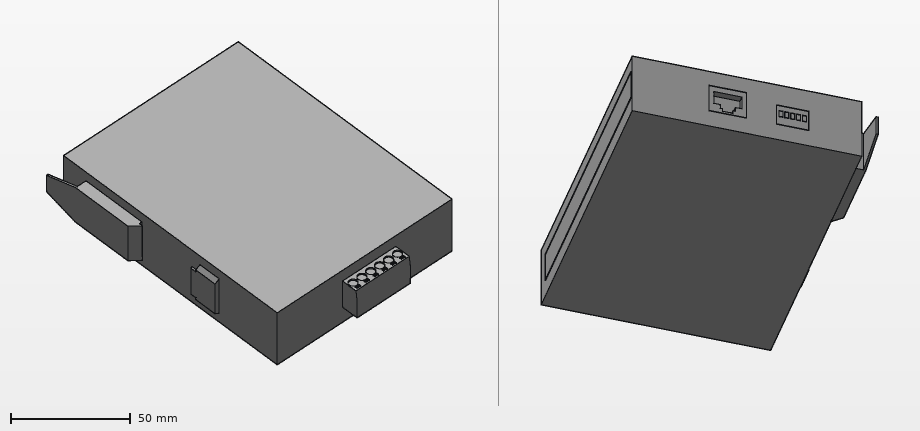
import cadquery as cq

housing_length = 130.0
housing_depth = 100.0
housing_height = 30.0
mid_height = housing_height / 2

proud = 0.3

clip_reach = 6.0
clip_height = 20.0
tongue_overhang = 4.0
tongue_length = 17.7
tongue_thickness = 1.0
tongue_tip_height = 9.4
clip_neck_length = 34.0
clip_front_length = 31.9
clip_hook_length = 35.9
hook_gap = 1.4

foot_left = 83.0
foot_length = 11.7
foot_reach = 2.4
foot_front_height = 17.1
lip_length = 3.4
lip_bevel = 0.4
lip_height = 15.0
lip_gap = 1.4

terminal_length = 8.9
terminal_width = 30.4
terminal_height = 15.1
terminal_bottom = 8.7
terminal_mid_y = 52.5
terminal_slope_run = 0.7
terminal_slope_drop = 5.1
pole_count = 6
pole_pitch = 5.08
screw_offset = 3.7
screw_radius = 2.1
screw_depth = 0.7
test_slot_offset = 6.7
test_slot_length = 1.1
test_slot_width = 2.1
test_slot_depth = 0.7

jack_mid_y = 58.4
jack_width = 16.3
port_bottom = 8.3
jack_height = 13.9
socket_top = 19.1
socket_depth = 2.9
socket_steps = [(12.3, 6.4), (6.5, 2.0), (4.5, 1.4)]

switch_bank_mid_y = 30.1
switch_bank_width = 14.0
switch_bank_height = 10.4
switch_count = 5
switch_pitch = 2.5
switch_width = 1.7
switch_height = 3.1
switch_mid_z = 14.3

label_left = 1.0
label_length = 122.5
label_bottom = 8.1
label_height = 14.1


def box(x, y, z, length, depth, height):
    """Box with its lowest corner at (x, y, z)."""
    return cq.Workplane("XY").box(length, depth, height, centered=False).translate((x, y, z))


def row_offsets(count, pitch):
    """Positions of evenly spaced items, centred on zero."""
    return [(i - (count - 1) / 2) * pitch for i in range(count)]


def rail_clip():
    """Hooked block with a thin tapered tongue that passes the -X end of the housing."""
    tongue_tip = -tongue_overhang
    block_left = tongue_tip + tongue_length
    hook_tip = block_left + clip_hook_length
    plan = (
        cq.Workplane("XY")
        .moveTo(tongue_tip, -clip_reach)
        .lineTo(block_left + clip_front_length, -clip_reach)
        .lineTo(hook_tip, -hook_gap)
        .lineTo(block_left + clip_neck_length, -hook_gap)
        .lineTo(block_left + clip_neck_length, 0)
        .lineTo(block_left, 0)
        .lineTo(block_left, tongue_thickness - clip_reach)
        .lineTo(tongue_tip, tongue_thickness - clip_reach)
        .close()
        .extrude(housing_height)
    )
    half_tip = tongue_tip_height / 2
    half_clip = clip_height / 2
    elevation = (
        cq.Workplane("XZ")
        .moveTo(tongue_tip, mid_height - half_tip)
        .lineTo(block_left, mid_height - half_clip)
        .lineTo(hook_tip, mid_height - half_clip)
        .lineTo(hook_tip, mid_height + half_clip)
        .lineTo(block_left, mid_height + half_clip)
        .lineTo(tongue_tip, mid_height + half_tip)
        .close()
        .extrude(clip_reach)
    )
    return plan.intersect(elevation)


def rail_foot():
    """Foot that narrows away from the wall, with a bevelled lip on its -X side."""
    half_base = clip_height / 2
    half_front = foot_front_height / 2
    foot = (
        cq.Workplane("YZ", origin=(foot_left, 0, mid_height))
        .moveTo(0, -half_base)
        .lineTo(-foot_reach, -half_front)
        .lineTo(-foot_reach, half_front)
        .lineTo(0, half_base)
        .close()
        .extrude(foot_length)
    )
    lip_tip = foot_left - lip_length
    lip_root = foot_left + foot_length / 2
    lip = (
        cq.Workplane("XY", origin=(0, 0, mid_height - lip_height / 2))
        .moveTo(lip_root, -lip_gap)
        .lineTo(lip_tip, -lip_gap)
        .lineTo(lip_tip + lip_bevel, -foot_reach)
        .lineTo(lip_root, -foot_reach)
        .close()
        .extrude(lip_height)
    )
    return foot.union(lip)


def terminal_block():
    """Terminal block with a screw recess and a test slot for each pole."""
    top = terminal_bottom + terminal_height
    right = housing_length + terminal_length
    block = (
        cq.Workplane("XZ", origin=(0, terminal_mid_y + terminal_width / 2, 0))
        .moveTo(housing_length, terminal_bottom)
        .lineTo(right, terminal_bottom)
        .lineTo(right, top - terminal_slope_drop)
        .lineTo(right - terminal_slope_run, top)
        .lineTo(housing_length, top)
        .close()
        .extrude(terminal_width)
    )
    poles = [(0, offset) for offset in row_offsets(pole_count, pole_pitch)]
    screws = (
        cq.Workplane("XY", origin=(housing_length + screw_offset, terminal_mid_y, top))
        .pushPoints(poles)
        .circle(screw_radius)
        .extrude(-screw_depth)
    )
    test_slots = (
        cq.Workplane("XY", origin=(housing_length + test_slot_offset, terminal_mid_y, top))
        .pushPoints(poles)
        .rect(test_slot_length, test_slot_width)
        .extrude(-test_slot_depth)
    )
    return block.cut(screws).cut(test_slots)


def jack_face():
    """Rim around the network jack."""
    return box(-proud, jack_mid_y - jack_width / 2, port_bottom, proud, jack_width, jack_height)


def jack_socket():
    """Stepped opening of the jack, narrower towards the bottom."""
    socket = cq.Workplane("XY")
    step_top = socket_top
    for width, height in socket_steps:
        step_bottom = step_top - height
        socket = socket.union(box(-proud, jack_mid_y - width / 2, step_bottom, socket_depth, width, height))
        step_top = step_bottom
    return socket


def switch_bank():
    """Raised plate of the switch bank."""
    bank_y = switch_bank_mid_y - switch_bank_width / 2
    return box(-proud, bank_y, port_bottom, proud, switch_bank_width, switch_bank_height)


def switch_windows():
    """Row of windows that go through the switch bank down to the housing wall."""
    return (
        cq.Workplane("YZ", origin=(-proud, switch_bank_mid_y, switch_mid_z))
        .pushPoints([(offset, 0) for offset in row_offsets(switch_count, switch_pitch)])
        .rect(switch_width, switch_height)
        .extrude(proud)
    )


housing = box(0, 0, 0, housing_length, housing_depth, housing_height)
label_plate = box(label_left, housing_depth, label_bottom, label_length, proud, label_height)

result = (
    housing.union(label_plate)
    .union(rail_clip())
    .union(rail_foot())
    .union(terminal_block())
    .union(jack_face())
    .union(switch_bank())
    .cut(jack_socket())
    .cut(switch_windows())
)